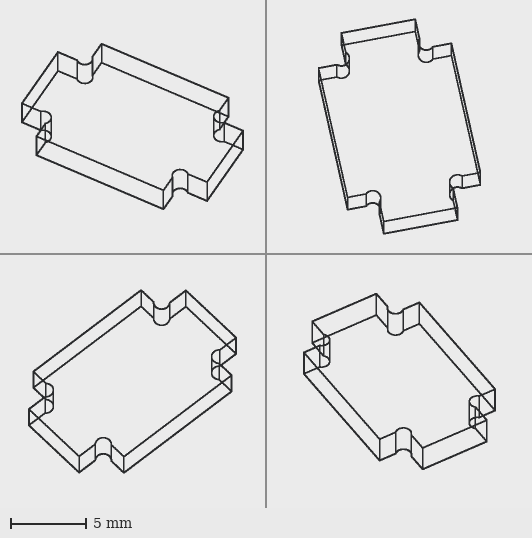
import cadquery as cq
import math

length = 14.0
width = 9.0
thickness = 2.0

body_length = 9.6
tab_width = 5.0

relief_radius = 0.53
relief_offset = relief_radius / math.sqrt(2)

body = cq.Workplane("XY").rect(body_length, width).extrude(thickness)
tabs = cq.Workplane("XY").rect(length, tab_width).extrude(thickness)
plate = body.union(tabs)

relief_x = body_length / 2 + relief_offset
relief_y = tab_width / 2 + relief_offset
relief_centres = [(sx * relief_x, sy * relief_y) for sx in (-1, 1) for sy in (-1, 1)]
reliefs = cq.Workplane("XY").pushPoints(relief_centres).circle(relief_radius).extrude(thickness)

result = plate.cut(reliefs)